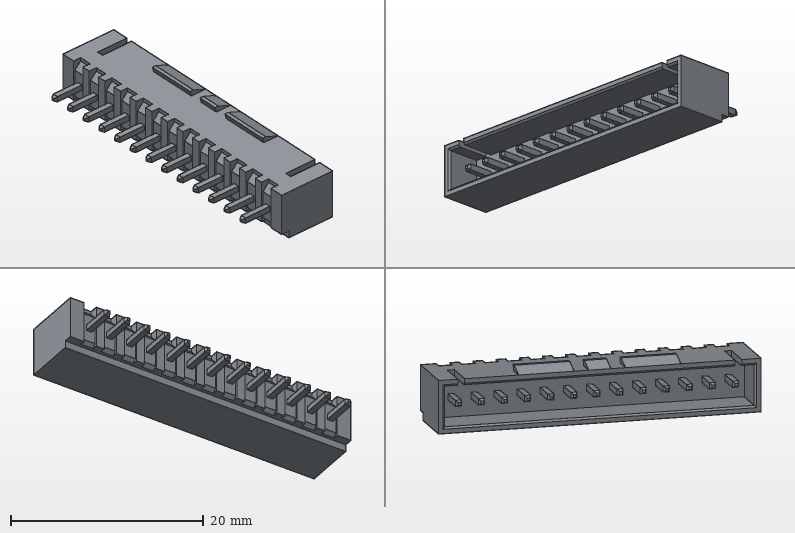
import cadquery as cq

length = 34.9
depth = 7.0
height = 5.75
wall = 0.7
cavity_depth = 4.0
mouth_chamfer = 0.2

pin_count = 13
pin_row_span = 29.98
pitch = pin_row_span / (pin_count - 1)
pin_size = 0.65
pin_tail = 3.5
pin_setback = 0.77
tip_length = 0.35
tip_taper = 0.17

step_depth = 0.98
step_height = 0.85

recess_width = 1.5
recess_depth = 0.98
block_setback = 0.2
bevel_start = 0.42
bevel_end = 1.25

slot_width = 0.75

latch_height = 0.63
latch_ramp = 1.7
latch_depth = 2.15
latch_undercut = 0.17
centre_latch_width = 2.4
side_latch_width = 6.0
latch_gap = 1.57

pin_xs = [(i - (pin_count - 1) / 2) * pitch for i in range(pin_count)]
half_height = height / 2


def extrude_along_x(points, centre_x, width):
    """Extrude a (Y, Z) outline along X, centred on centre_x."""
    profile = cq.Workplane("YZ", origin=(centre_x, 0, 0)).polyline(points).close()
    return profile.extrude(width / 2, both=True)


def make_housing():
    shell = cq.Workplane("XY").box(length, depth, height, centered=(True, False, True))
    cavity = (
        cq.Workplane("XY")
        .box(length - 2 * wall, cavity_depth, height - 2 * wall, centered=(True, False, True))
        .translate((0, depth - cavity_depth, 0))
    )
    shell = shell.cut(cavity)
    mouth_edges = cq.selectors.BoxSelector(
        (-length / 2 + wall / 2, depth - wall / 2, -half_height + wall / 2),
        (length / 2 - wall / 2, depth + wall / 2, half_height - wall / 2),
    )
    return shell.edges(mouth_edges).chamfer(mouth_chamfer)


def make_recess(x):
    outline = [
        (0, half_height),
        (recess_depth, half_height),
        (recess_depth, half_height - bevel_start),
        (block_setback, half_height - bevel_end),
        (block_setback, -half_height + bevel_end),
        (recess_depth, -half_height + bevel_start),
        (recess_depth, -half_height),
        (0, -half_height),
    ]
    return extrude_along_x(outline, x, recess_width)


def make_step():
    return (
        cq.Workplane("XY")
        .box(length, step_depth, step_height, centered=(True, False, False))
        .translate((0, 0, -half_height))
    )


def make_slot(x):
    return (
        cq.Workplane("XY")
        .box(slot_width, cavity_depth, half_height, centered=(True, False, False))
        .translate((x, depth - cavity_depth, 0))
    )


def make_latch(centre_x, width):
    outline = [
        (depth, half_height),
        (depth - latch_ramp, half_height + latch_height),
        (depth - latch_depth, half_height + latch_height),
        (depth - latch_depth + latch_undercut, half_height),
    ]
    return extrude_along_x(outline, centre_x, width)


def make_pin(x):
    shank_length = pin_tail + depth - pin_setback - 2 * tip_length
    tip_size = pin_size - 2 * tip_taper
    pin = cq.Workplane("XZ").rect(pin_size, pin_size).extrude(shank_length / 2, both=True)
    for face in ("<Y", ">Y"):
        tip = (
            pin.faces(face)
            .workplane(centerOption="CenterOfMass")
            .rect(pin_size, pin_size)
            .workplane(offset=tip_length)
            .rect(tip_size, tip_size)
            .loft(combine=False)
        )
        pin = pin.union(tip)
    return pin.translate((x, shank_length / 2 + tip_length - pin_tail, 0))


result = make_housing().cut(make_step())
for x in pin_xs:
    result = result.cut(make_recess(x))
for x in (pin_xs[0], pin_xs[-1]):
    result = result.cut(make_slot(x))

side_latch_x = centre_latch_width / 2 + latch_gap + side_latch_width / 2
result = result.union(make_latch(0, centre_latch_width))
for side in (-1, 1):
    result = result.union(make_latch(side * side_latch_x, side_latch_width))

for x in pin_xs:
    result = result.union(make_pin(x))